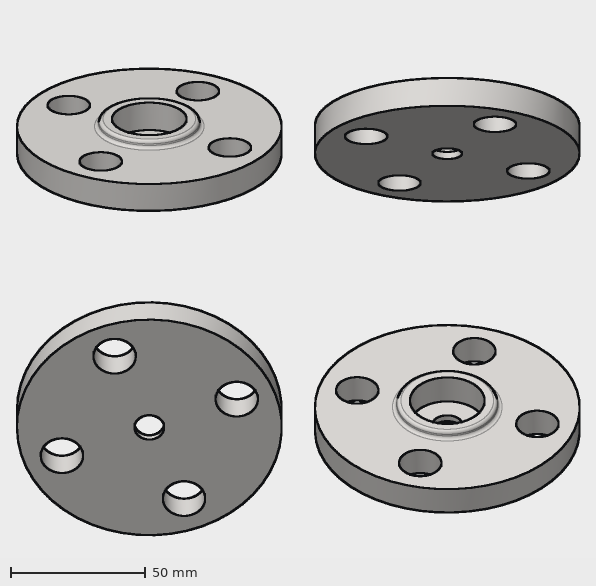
import cadquery as cq
import math

flange_diameter = 98.5
flange_thickness = 11.1
overall_height = 14.2

hub_foot_diameter = 40.8
hub_top_face_diameter = 34.5
hub_draft_angle = math.radians(12)

hub_height = overall_height - flange_thickness
hub_spread = (hub_foot_diameter - hub_top_face_diameter) / 2
hub_round_radius = (
    hub_spread * math.cos(hub_draft_angle) - hub_height * math.sin(hub_draft_angle)
) / (2 * (1 - math.sin(hub_draft_angle)))

socket_diameter = 27.8
socket_depth = 11.3
bore_diameter = 11.0

bolt_hole_count = 4
bolt_hole_diameter = 15.8
bolt_circle_diameter = 69.9


def hub_half_section():
    """Hub profile in the XZ plane, from the axis out to the root fillet."""
    top_radius = hub_top_face_diameter / 2
    foot_radius = hub_foot_diameter / 2
    rim_z = overall_height - hub_round_radius
    root_z = flange_thickness + hub_round_radius
    mid_arc_angle = (math.pi / 2 + hub_draft_angle) / 2

    def rim_point(angle):
        """Point on the convex rim round, angle measured from +X."""
        return (
            top_radius + hub_round_radius * math.cos(angle),
            rim_z + hub_round_radius * math.sin(angle),
        )

    def root_point(angle):
        """Point on the concave root fillet, angle measured from -X."""
        return (
            foot_radius - hub_round_radius * math.cos(angle),
            root_z - hub_round_radius * math.sin(angle),
        )

    return (
        cq.Workplane("XZ")
        .moveTo(0, overall_height)
        .lineTo(top_radius, overall_height)
        .threePointArc(rim_point(mid_arc_angle), rim_point(hub_draft_angle))
        .lineTo(*root_point(hub_draft_angle))
        .threePointArc(root_point(mid_arc_angle), (foot_radius, flange_thickness))
        .lineTo(0, flange_thickness)
        .close()
    )


def make_bolt_holes():
    return (
        cq.Workplane("XY")
        .polarArray(bolt_circle_diameter / 2, 0, 360, bolt_hole_count)
        .circle(bolt_hole_diameter / 2)
        .extrude(flange_thickness)
    )


plate = cq.Workplane("XY").circle(flange_diameter / 2).extrude(flange_thickness)
hub = hub_half_section().revolve(360, (0, 0), (0, 1))

socket_floor = overall_height - socket_depth
socket = (
    cq.Workplane("XY", origin=(0, 0, socket_floor))
    .circle(socket_diameter / 2)
    .extrude(socket_depth)
)
bore = cq.Workplane("XY").circle(bore_diameter / 2).extrude(overall_height)

result = plate.union(hub).cut(socket).cut(bore).cut(make_bolt_holes())